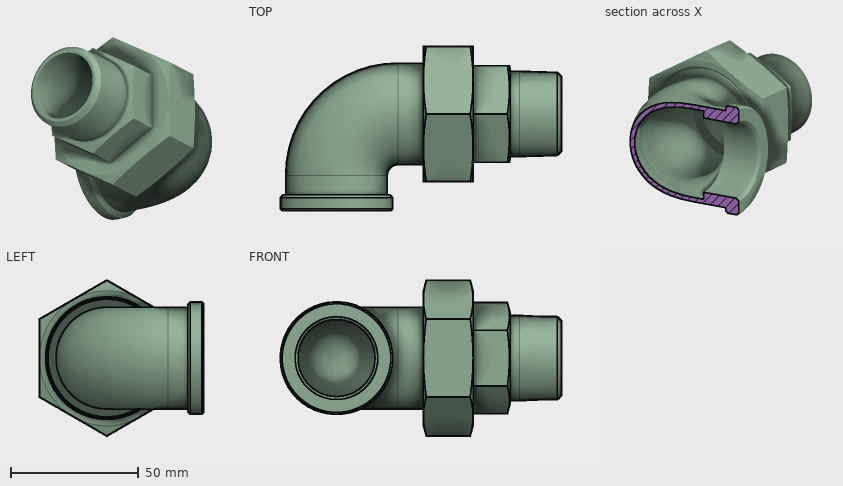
import cadquery as cq
import math

pipe_radius = 20.0
bend_radius = 24.0
cavity_radius = 18.0

port_end = 38.0
collar_length = 6.3
collar_radius = 22.1
collar_back_chamfer = 1.1
collar_front_chamfer = 0.8
port_bore_radius = 15.1
port_bore_chamfer = 1.1
port_bore_depth = 16.5

nut_start = 34.1
nut_end = 53.5
nut_across_flats = 53.0
nut_face_radius = nut_across_flats / 2
nut_bore_radius = 23.5
nut_bore_chamfer = 0.5
flange_radius = 23.1
flange_recess = 0.5

hex_sides = 6
hex_chamfer_angle = 15
hex_corner_blunting = 0.03

tail_hex_end = 68.1
tail_across_flats = 38.0
tail_face_radius = 17.8

neck_radius = 16.8
taper_start = 71.8
taper = 1 / 16
thread_end = 88.3
thread_chamfer = 1.7
tail_bore_radius = 13.5


def tube_along_x(radius, start, end):
    return cq.Workplane("YZ").workplane(offset=start).circle(radius).extrude(end - start)


def elbow_path(inlet, outlet):
    return (
        cq.Workplane("XY")
        .moveTo(0, -inlet)
        .lineTo(0, -bend_radius)
        .radiusArc((bend_radius, 0), bend_radius)
        .lineTo(outlet, 0)
    )


def elbow_sweep(radius, inlet, outlet):
    profile = cq.Workplane("XZ", origin=(0, -inlet, 0)).circle(radius)
    return profile.sweep(elbow_path(inlet, outlet))


def hexagon(across_flats, face_radius, start, end, chamfer_start):
    """Hexagon along X with flats on +Y and -Y and turned chamfers on its corners."""
    corner_radius = across_flats / 2 / math.cos(math.radians(180 / hex_sides))
    blunt_radius = corner_radius - hex_corner_blunting
    setback = (blunt_radius - face_radius) * math.tan(math.radians(hex_chamfer_angle))
    prism = (
        cq.Workplane("YZ")
        .workplane(offset=start)
        .transformed(rotate=(0, 0, 90))
        .polygon(hex_sides, 2 * corner_radius)
        .extrude(end - start)
    )
    envelope = cq.Workplane("XY").moveTo(start, 0)
    if chamfer_start:
        envelope = envelope.lineTo(start, face_radius).lineTo(start + setback, blunt_radius)
    else:
        envelope = envelope.lineTo(start, blunt_radius)
    envelope = (
        envelope.lineTo(end - setback, blunt_radius)
        .lineTo(end, face_radius)
        .lineTo(end, 0)
        .close()
        .revolve(360, (0, 0, 0), (1, 0, 0))
    )
    return prism.intersect(envelope)


def port_collar():
    collar = cq.Workplane("XZ", origin=(0, collar_length - port_end, 0))
    collar = collar.circle(collar_radius).extrude(collar_length)
    return collar.faces(">Y").chamfer(collar_back_chamfer).faces("<Y").chamfer(collar_front_chamfer)


def union_nut():
    """Nut with an annular recess around the pipe, down to the flange seated in it."""
    nut = hexagon(nut_across_flats, nut_face_radius, nut_start, nut_end, chamfer_start=True)
    recess = tube_along_x(nut_bore_radius, nut_start, nut_start + nut_bore_chamfer + flange_recess)
    lead_in = cq.Workplane(
        cq.Solid.makeCone(
            nut_bore_radius + nut_bore_chamfer,
            nut_bore_radius,
            nut_bore_chamfer,
            cq.Vector(nut_start, 0, 0),
            cq.Vector(1, 0, 0),
        )
    )
    flange = tube_along_x(flange_radius, nut_start, nut_end)
    return nut.cut(recess).cut(lead_in).union(flange)


def male_thread():
    chamfer_start = thread_end - thread_chamfer
    crest_radius = neck_radius - taper / 2 * (chamfer_start - taper_start)
    return (
        cq.Workplane("XY")
        .moveTo(nut_end, 0)
        .lineTo(nut_end, neck_radius)
        .lineTo(taper_start, neck_radius)
        .lineTo(chamfer_start, crest_radius)
        .lineTo(thread_end, crest_radius - thread_chamfer)
        .lineTo(thread_end, 0)
        .close()
        .revolve(360, (0, 0, 0), (1, 0, 0))
    )


def port_bore():
    """Round bore of the port with a lead-in chamfer at its mouth."""
    bottom = port_bore_depth - port_end
    return (
        cq.Workplane("XY")
        .moveTo(0, -port_end)
        .lineTo(port_bore_radius + port_bore_chamfer, -port_end)
        .lineTo(port_bore_radius, port_bore_chamfer - port_end)
        .lineTo(port_bore_radius, bottom)
        .lineTo(0, bottom)
        .close()
        .revolve(360, (0, 0, 0), (0, 1, 0))
    )


def bend_cavity():
    """Wide cavity of the bend, starting where the port bore stops."""
    port_block = cq.Workplane("XZ", origin=(0, port_bore_depth - port_end, 0))
    port_block = port_block.circle(pipe_radius).extrude(port_bore_depth)
    return elbow_sweep(cavity_radius, port_end, nut_end).cut(port_block)


tail_hexagon = hexagon(tail_across_flats, tail_face_radius, nut_end, tail_hex_end, chamfer_start=False)
outside = (
    elbow_sweep(pipe_radius, port_end - collar_front_chamfer, nut_end)
    .union(port_collar())
    .union(union_nut())
    .union(tail_hexagon)
    .union(male_thread())
)

tail_bore = tube_along_x(tail_bore_radius, nut_end, thread_end)

result = outside.cut(bend_cavity()).cut(port_bore()).cut(tail_bore)